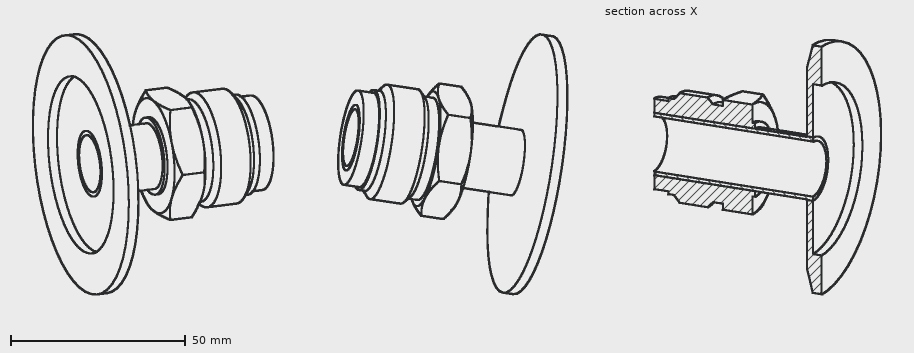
import cadquery as cq
import math

flange_diameter = 75.0
flange_back_diameter = 60.75
flange_rim_thickness = 3.0
flange_thickness = 4.9
recess_diameter = 51.2
recess_depth = 2.8

tube_diameter = 19.05
bore_diameter = 16.5

collar_start = 21.45
hex_start = 22.35
hex_end = 31.95
neck_end = 35.0
drum_start = 36.75
drum_end = 45.8
shoulder_start = 47.7
shoulder_end = 49.5
total_length = 54.1
collar_diameter = 22.35
neck_diameter = 29.7
drum_diameter = 33.3
shoulder_diameter = 29.1
nose_diameter = 27.45
hex_across_flats = 33.3
hex_chamfer_angle = 30.0


def revolve_profile(points):
    """Revolve a closed (radius, Y) outline about the Y axis."""
    return cq.Workplane("XY").polyline(points).close().revolve(360, (0, 0, 0), (0, 1, 0))


def make_flange():
    """Flange with a tapered back, a front recess and a hole for the tube."""
    return revolve_profile([
        (tube_diameter / 2, recess_depth),
        (recess_diameter / 2, recess_depth),
        (recess_diameter / 2, 0),
        (flange_diameter / 2, 0),
        (flange_diameter / 2, flange_rim_thickness),
        (flange_back_diameter / 2, flange_thickness),
        (tube_diameter / 2, flange_thickness),
    ])


def make_tube():
    """Tube from the recess floor to the far end of the fitting."""
    return revolve_profile([
        (bore_diameter / 2, recess_depth),
        (tube_diameter / 2, recess_depth),
        (tube_diameter / 2, total_length),
        (bore_diameter / 2, total_length),
    ])


def make_hexagon():
    """Hexagon with corners on the X axis, chamfered conically at both ends."""
    corner_diameter = hex_across_flats / math.cos(math.radians(30))
    chamfer_width = (corner_diameter - hex_across_flats) / 2
    chamfer_length = chamfer_width * math.tan(math.radians(hex_chamfer_angle))
    prism = (
        cq.Workplane("XZ", origin=(0, hex_start, 0))
        .polygon(6, corner_diameter)
        .extrude(hex_start - hex_end)
    )
    envelope = revolve_profile([
        (0, hex_start),
        (hex_across_flats / 2, hex_start),
        (corner_diameter / 2, hex_start + chamfer_length),
        (corner_diameter / 2, hex_end - chamfer_length),
        (hex_across_flats / 2, hex_end),
        (0, hex_end),
    ])
    return prism.intersect(envelope)


def make_fitting():
    """Stepped round fitting with a hexagon, bored to fit over the tube."""
    turned_body = revolve_profile([
        (0, collar_start),
        (collar_diameter / 2, collar_start),
        (collar_diameter / 2, hex_start),
        (neck_diameter / 2, hex_start),
        (neck_diameter / 2, neck_end),
        (drum_diameter / 2, drum_start),
        (drum_diameter / 2, drum_end),
        (shoulder_diameter / 2, shoulder_start),
        (shoulder_diameter / 2, shoulder_end),
        (nose_diameter / 2, shoulder_end),
        (nose_diameter / 2, total_length),
        (0, total_length),
    ])
    tube_hole = cq.Workplane("XZ").circle(tube_diameter / 2).extrude(-total_length)
    return turned_body.union(make_hexagon()).cut(tube_hole)


flange = make_flange()
tube = make_tube()
fitting = make_fitting()

result = cq.Compound.makeCompound([flange.val(), tube.val(), fitting.val()])